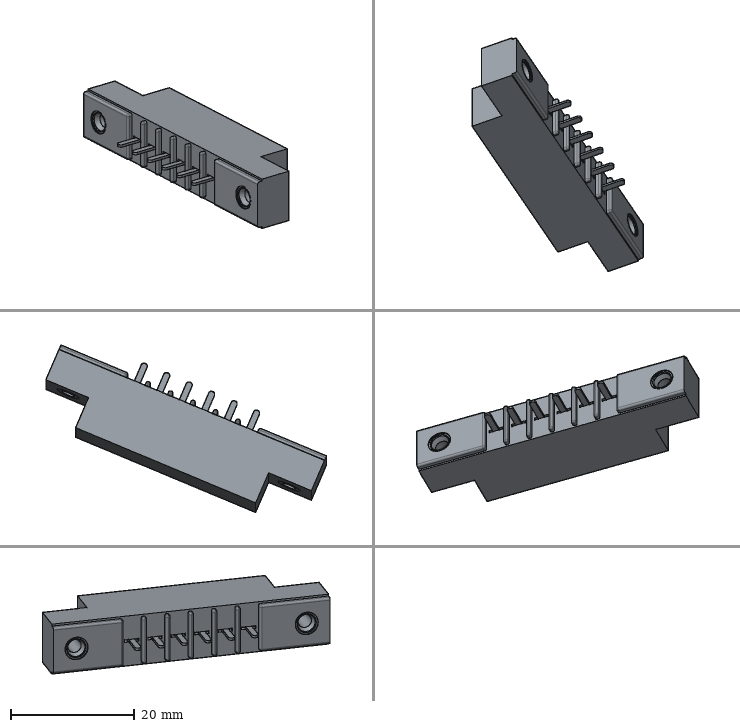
import cadquery as cq

LENGTH = 46.8
HEIGHT = 8.7
MATING_LENGTH = 31.72
MATING_DEPTH = 5.4
FLANGE_DEPTH = 5.47

STANDOFF_DEPTH = 0.9
STANDOFF_INSET = 0.35
STANDOFF_HEIGHT = HEIGHT - 2 * STANDOFF_INSET
PAD_LENGTH = 11.9
PAD_ROUND = 0.37
RIB_WIDTH = 0.75
RIB_ROUND = 0.35

CONTACT_COUNT = 6
CONTACT_PITCH = 19.8 / (CONTACT_COUNT - 1)
CONTACT_THICKNESS = 0.4
PIN_WIDTH = 1.05
PIN_REACH = 3.15
PIN_TIP_ROUND = 0.45
BLADE_WIDTH = 2.4
BLADE_RECESS = 0.95
SLOT_DEPTH = 3.75

BUSHING_SPACING = 38.95
BUSHING_RADIUS = 1.9
MOUTH_RADIUS = 1.65
FLARE_RADIUS = 1.5
BORE_RADIUS = 1.1
BUSHING_RECESS = 0.2
MOUTH_DEPTH = 0.15
FLARE_DEPTH = 0.9

WALL_Y = STANDOFF_DEPTH
FLANGE_BACK_Y = WALL_Y + FLANGE_DEPTH
MOUTH_END_Y = BUSHING_RECESS + MOUTH_DEPTH
FLARE_END_Y = MOUTH_END_Y + FLARE_DEPTH
BUSHING_XS = [-BUSHING_SPACING / 2, BUSHING_SPACING / 2]


def centered_xs(count):
    """X positions of a row spaced at the contact pitch and centered on X = 0."""
    return [(i - (count - 1) / 2) * CONTACT_PITCH for i in range(count)]


def block(width, y_start, depth, height):
    """Box centered on X and Z that runs from y_start toward +Y."""
    return cq.Workplane("XY").box(width, depth, height).translate((0, y_start + depth / 2, 0))


def make_pad(side):
    """End pad, flush with the housing end; its other free edges are rounded."""
    inner, outer = ("<X", ">X") if side > 0 else (">X", "<X")
    pad = block(PAD_LENGTH, 0, STANDOFF_DEPTH, STANDOFF_HEIGHT)
    front_edges = f"(<Y except {outer})"
    inner_corners = f"(|Y and {inner})"
    pad = pad.edges(f"{front_edges} or {inner_corners}").fillet(PAD_ROUND)
    return pad.translate((side * (LENGTH - PAD_LENGTH) / 2, 0, 0))


def make_rib():
    """Narrow standoff rib with every edge rounded except where it meets the wall."""
    rib = block(RIB_WIDTH, 0, STANDOFF_DEPTH, STANDOFF_HEIGHT)
    return rib.edges("|Y or <Y").fillet(RIB_ROUND)


def make_housing():
    flange = block(LENGTH, WALL_Y, FLANGE_DEPTH, HEIGHT)
    mating_section = block(MATING_LENGTH, FLANGE_BACK_Y, MATING_DEPTH, HEIGHT)
    housing = flange.union(mating_section)

    for side in (-1, 1):
        housing = housing.union(make_pad(side))
    for x in centered_xs(CONTACT_COUNT - 1):
        housing = housing.union(make_rib().translate((x, 0, 0)))

    slot = block(BLADE_WIDTH, WALL_Y, SLOT_DEPTH, CONTACT_THICKNESS)
    for x in centered_xs(CONTACT_COUNT):
        housing = housing.cut(slot.translate((x, 0, 0)))

    mounting_hole = cq.Workplane("XZ").circle(BUSHING_RADIUS).extrude(-FLANGE_BACK_Y)
    for x in BUSHING_XS:
        housing = housing.cut(mounting_hole.translate((x, 0, 0)))
    return housing


def make_contact(x):
    blade_y = WALL_Y + BLADE_RECESS
    pin = block(PIN_WIDTH, -PIN_REACH, PIN_REACH + blade_y, CONTACT_THICKNESS)
    pin = pin.edges("|Z and <Y").fillet(PIN_TIP_ROUND)
    blade = block(BLADE_WIDTH, blade_y, SLOT_DEPTH - BLADE_RECESS, CONTACT_THICKNESS)
    return pin.union(blade).translate((x, 0, 0))


def make_bushing(x):
    """Tube revolved about Y whose bore narrows from a chamfered mouth through a flare."""
    tube = (
        cq.Workplane("XY")
        .moveTo(BUSHING_RADIUS, BUSHING_RECESS)
        .lineTo(MOUTH_RADIUS, BUSHING_RECESS)
        .lineTo(FLARE_RADIUS, MOUTH_END_Y)
        .lineTo(BORE_RADIUS, FLARE_END_Y)
        .lineTo(BORE_RADIUS, FLANGE_BACK_Y)
        .lineTo(BUSHING_RADIUS, FLANGE_BACK_Y)
        .close()
        .revolve(360, (0, 0, 0), (0, 1, 0))
    )
    return tube.translate((x, 0, 0))


housing = make_housing()
contacts = [make_contact(x) for x in centered_xs(CONTACT_COUNT)]
bushings = [make_bushing(x) for x in BUSHING_XS]

result = cq.Compound.makeCompound(
    [
        housing.solids().val(),
        *[contact.solids().val() for contact in contacts],
        *[bushing.solids().val() for bushing in bushings],
    ]
)